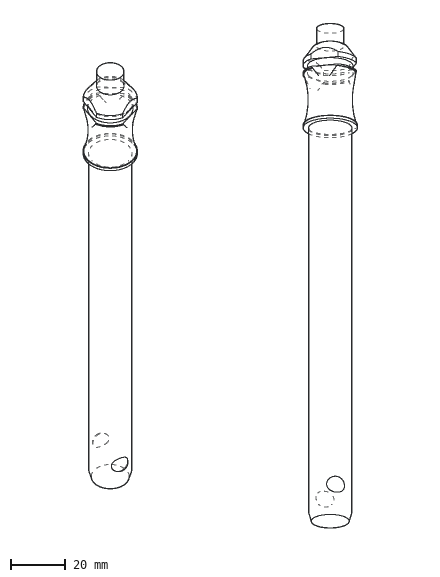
import cadquery as cq
import math

length = 193.5
shaft_radius = 8.0
tip_radius = 7.0
tip_chamfer_height = 3.5

rim_diameter = 20.0
rim_radius = rim_diameter / 2
rim_height = 1.2
rim_curve_radius = 9.7
waist_radius = 8.1
handle_bottom = 154.5
waist_z = 165.5
handle_top = 175.9
lower_curve_end = handle_bottom + rim_height
upper_curve_end = 2 * waist_z - lower_curve_end
groove_radius = 8.3
groove_height = 2.9

cap_bottom = handle_top + groove_height
cone_bottom = cap_bottom + 2.0
cone_top_radius = 6.8
cone_top = 185.4
button_radius = 5.0
cap_top = 186.5

flat_count = 3
flat_distance = 8.5

ball_radius = 3.5
ball_reach = 9.9
ball_z = 11.6


def waist_midpoint(end_radius, end_z):
    """Middle of the arc that runs from the waist, tangent to Z, to the given end."""
    rise = end_radius - waist_radius
    height = end_z - waist_z
    arc_radius = (rise**2 + height**2) / (2 * rise)
    half_angle = math.asin(height / arc_radius) / 2
    radius = waist_radius + arc_radius * (1 - math.cos(half_angle))
    return radius, waist_z + arc_radius * math.sin(half_angle)


def turned_body():
    """Shaft, handle and button as one profile turned about Z."""
    profile = (
        cq.Workplane("XZ")
        .moveTo(0, 0)
        .lineTo(tip_radius, 0)
        .lineTo(shaft_radius, tip_chamfer_height)
        .lineTo(shaft_radius, handle_bottom)
        .lineTo(rim_radius, handle_bottom)
        .lineTo(rim_radius, lower_curve_end)
        .lineTo(rim_curve_radius, lower_curve_end)
        .threePointArc(waist_midpoint(rim_curve_radius, lower_curve_end), (waist_radius, waist_z))
        .threePointArc(waist_midpoint(rim_curve_radius, upper_curve_end), (rim_curve_radius, upper_curve_end))
        .lineTo(rim_radius, upper_curve_end)
        .lineTo(rim_radius, handle_top)
        .lineTo(groove_radius, handle_top)
        .lineTo(groove_radius, cap_bottom)
        .lineTo(rim_radius, cap_bottom)
        .lineTo(rim_radius, cone_bottom)
        .lineTo(cone_top_radius, cone_top)
        .tangentArcPoint((button_radius, cap_top), relative=False)
        .lineTo(button_radius, length)
        .lineTo(0, length)
        .close()
    )
    return profile.revolve(360, (0, 0, 0), (0, 1, 0))


def flat_cutter(angle):
    """Block outside one flat, above the waist; angle zero faces -Y."""
    size = rim_diameter
    block = cq.Workplane("XY").box(size, size, length - waist_z, centered=(True, True, False))
    block = block.translate((0, -flat_distance - size / 2, waist_z))
    return block.rotate((0, 0, 0), (0, 0, 1), angle)


result = turned_body()
for index in range(flat_count):
    result = result.cut(flat_cutter(index * 360 / flat_count))
for side in (-1, 1):
    ball = cq.Workplane("XY").sphere(ball_radius)
    result = result.union(ball.translate((side * (ball_reach - ball_radius), 0, ball_z)))